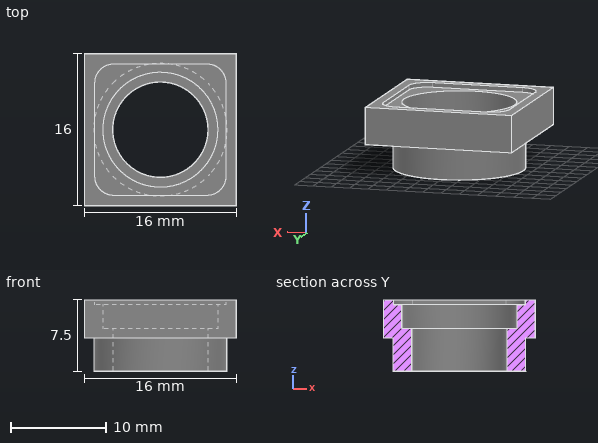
import cadquery as cq

flange_side = 16.0
flange_height = 4.0

spigot_diameter = 14.0
spigot_height = 3.5

recess_side = 13.8
recess_depth = 0.5
recess_corner_radius = 2.0

counterbore_diameter = 12.1
counterbore_depth = 2.5
bore_diameter = 10.0

total_height = spigot_height + flange_height
recess_floor = total_height - recess_depth
counterbore_floor = recess_floor - counterbore_depth


def cylinder(diameter, bottom, height):
    """Vertical cylinder on the part's axis."""
    return cq.Workplane("XY").workplane(offset=bottom).circle(diameter / 2).extrude(height)


spigot = cylinder(spigot_diameter, 0, spigot_height)
flange = (
    cq.Workplane("XY")
    .workplane(offset=spigot_height)
    .rect(flange_side, flange_side)
    .extrude(flange_height)
)
recess = (
    cq.Workplane("XY")
    .workplane(offset=recess_floor)
    .rect(recess_side, recess_side)
    .extrude(recess_depth)
    .edges("|Z")
    .fillet(recess_corner_radius)
)
counterbore = cylinder(counterbore_diameter, counterbore_floor, counterbore_depth)
bore = cylinder(bore_diameter, 0, total_height)

result = flange.union(spigot).cut(recess).cut(counterbore).cut(bore)